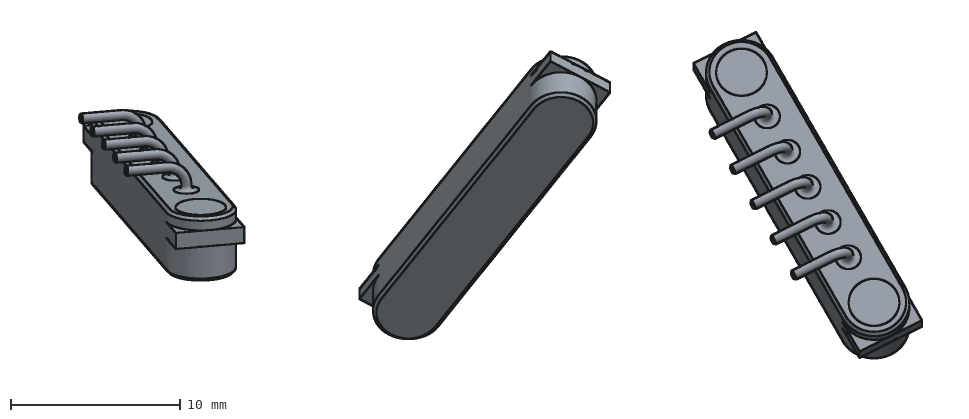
import cadquery as cq
import math

length = 20.8
width = 4.2
height = 4.0
edge_chamfer = 0.2
flange_thickness = 1.0
flange_bottom = 2.2
end_radius = width / 2

magnet_diameter = 3.0
magnet_depth = 3.0
magnet_edge_fillet = 0.1
magnet_x = length / 2 - end_radius
magnet_centers = [(-magnet_x, 0), (magnet_x, 0)]

pin_count = 5
pin_pitch = 2.54
pin_radius = 0.6 / 2
head_radius = 1.5 / 2
head_depth = 1.0
foot_fillet = 0.3
bend_radius = 1.2
tail_tip_y = -3.75
tail_chamfer = 0.1
tail_length = -tail_tip_y - bend_radius
tail_z = height + foot_fillet + bend_radius
pin_centers = [((i - (pin_count - 1) / 2) * pin_pitch, 0) for i in range(pin_count)]


def make_housing():
    block = (
        cq.Workplane("XY")
        .slot2D(length, width)
        .extrude(height)
        .faces("<Z or >Z")
        .chamfer(edge_chamfer)
    )
    flange = (
        cq.Workplane("XY", origin=(0, 0, flange_bottom))
        .rect(length, width)
        .extrude(flange_thickness)
    )
    magnet_pockets = (
        cq.Workplane("XY", origin=(0, 0, height))
        .pushPoints(magnet_centers)
        .circle(magnet_diameter / 2)
        .extrude(-magnet_depth)
    )
    head_pockets = (
        cq.Workplane("XY", origin=(0, 0, height))
        .pushPoints(pin_centers)
        .circle(head_radius)
        .extrude(-head_depth)
    )
    rounded = (
        block.union(flange)
        .cut(magnet_pockets)
        .faces(">Z")
        .edges()
        .filter(lambda edge: edge.IsClosed())
        .fillet(magnet_edge_fillet)
    )
    return rounded.cut(head_pockets)


def make_magnet(center):
    return (
        cq.Workplane("XY", origin=(*center, height))
        .circle(magnet_diameter / 2)
        .extrude(-magnet_depth)
        .faces(">Z")
        .fillet(magnet_edge_fillet)
    )


def make_pin(center):
    fillet_reach = foot_fillet * (1 - math.sqrt(0.5))
    base = (
        cq.Workplane("XZ", origin=(0, 0, height))
        .moveTo(0, -head_depth)
        .lineTo(head_radius, -head_depth)
        .lineTo(head_radius, 0)
        .lineTo(pin_radius + foot_fillet, 0)
        .threePointArc((pin_radius + fillet_reach, fillet_reach), (pin_radius, foot_fillet))
        .lineTo(0, foot_fillet)
        .close()
        .revolve(360, (0, 0, 0), (0, 1, 0))
    )
    bend = (
        cq.Workplane("XY", origin=(0, 0, height + foot_fillet))
        .circle(pin_radius)
        .revolve(90, (0, -bend_radius, 0), (1, -bend_radius, 0))
    )
    tail = (
        cq.Workplane("XZ", origin=(0, -bend_radius, tail_z))
        .circle(pin_radius)
        .extrude(tail_length)
        .faces("<Y")
        .chamfer(tail_chamfer)
    )
    return base.union(bend).union(tail).translate((*center, 0))


housing = make_housing()
magnets = [make_magnet(center) for center in magnet_centers]
pins = [make_pin(center) for center in pin_centers]

result = cq.Compound.makeCompound([
    housing.val(),
    *[magnet.val() for magnet in magnets],
    *[pin.val() for pin in pins],
])